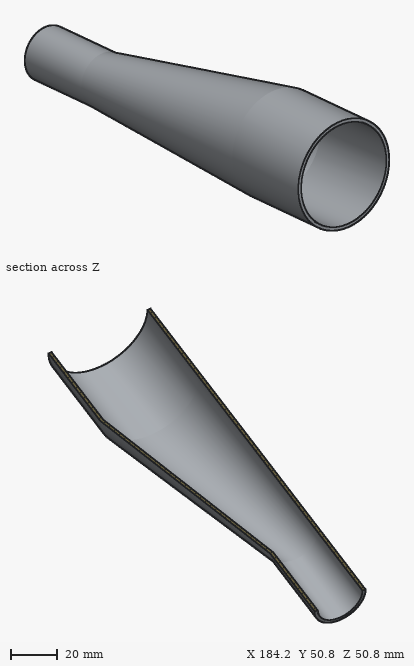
import cadquery as cq

total_length = 184.2
small_length = 38.1
large_length = 44.4
taper_length = total_length - small_length - large_length

small_outer = 25.5
large_outer = 50.8
wall = 1.7

small_end_y = -(large_outer - small_outer) / 2


def section_plane(x, y):
    """Plane across the tube, with its normal along +X."""
    return cq.Workplane("YZ", origin=(x, y, 0))


def reducer_solid(small_diameter, large_diameter):
    """Solid small cylinder, eccentric taper and large cylinder, joined."""
    taper_end_x = small_length + taper_length

    small_end = section_plane(0, small_end_y).circle(small_diameter / 2).extrude(small_length)
    taper = (
        section_plane(small_length, small_end_y)
        .circle(small_diameter / 2)
        .workplane(offset=taper_length)
        .center(-small_end_y, 0)
        .circle(large_diameter / 2)
        .loft(ruled=True)
    )
    large_end = section_plane(taper_end_x, 0).circle(large_diameter / 2).extrude(large_length)
    return small_end.union(taper).union(large_end)


outside = reducer_solid(small_outer, large_outer)
bore = reducer_solid(small_outer - 2 * wall, large_outer - 2 * wall)

result = outside.cut(bore)